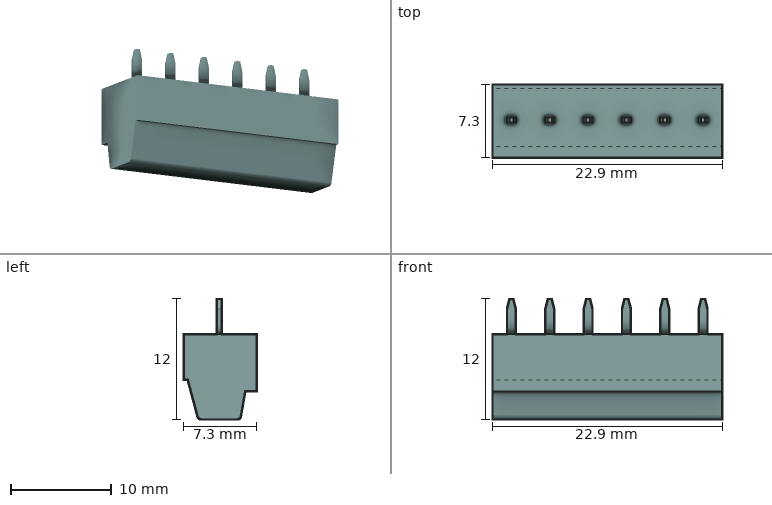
import cadquery as cq
import math

pin_count = 6
pin_pitch = 3.81
pin_width = 0.9
pin_thickness = 0.5
pin_length = 3.5
pin_tip_width = 0.4
pin_tip_length = 1.0

housing_length = pin_count * pin_pitch
housing_depth = 7.3
housing_height = 8.5
pins_to_back = 3.55

back_ledge_width = 0.4
back_ledge_height = 3.95
back_taper = math.radians(15)
front_ledge_width = 1.15
front_ledge_height = 2.8
front_taper = math.radians(10)
foot_edge_radius = 0.4

back_y = pins_to_back
front_y = back_y - housing_depth
back_ledge_y = back_y - back_ledge_width
front_ledge_y = front_y + front_ledge_width
foot_back_y = back_ledge_y - back_ledge_height * math.tan(back_taper)
foot_front_y = front_ledge_y + front_ledge_height * math.tan(front_taper)


def make_housing():
    """Extrude the end profile along X and round the two bottom edges of the foot."""
    profile = [
        (front_y, housing_height),
        (back_y, housing_height),
        (back_y, back_ledge_height),
        (back_ledge_y, back_ledge_height),
        (foot_back_y, 0),
        (foot_front_y, 0),
        (front_ledge_y, front_ledge_height),
        (front_y, front_ledge_height),
    ]
    housing = (
        cq.Workplane("YZ")
        .polyline(profile)
        .close()
        .extrude(housing_length / 2, both=True)
    )
    return housing.faces("<Z").edges("|X").fillet(foot_edge_radius)


def make_pin(center_x):
    """Flat pin standing on the housing, tapered in width towards its tip."""
    shoulder_z = housing_height + pin_length - pin_tip_length
    tip_z = housing_height + pin_length
    outline = [
        (center_x - pin_width / 2, housing_height),
        (center_x + pin_width / 2, housing_height),
        (center_x + pin_width / 2, shoulder_z),
        (center_x + pin_tip_width / 2, tip_z),
        (center_x - pin_tip_width / 2, tip_z),
        (center_x - pin_width / 2, shoulder_z),
    ]
    return (
        cq.Workplane("XZ")
        .polyline(outline)
        .close()
        .extrude(pin_thickness / 2, both=True)
    )


result = make_housing()
for index in range(pin_count):
    pin_x = (index - (pin_count - 1) / 2) * pin_pitch
    result = result.union(make_pin(pin_x))